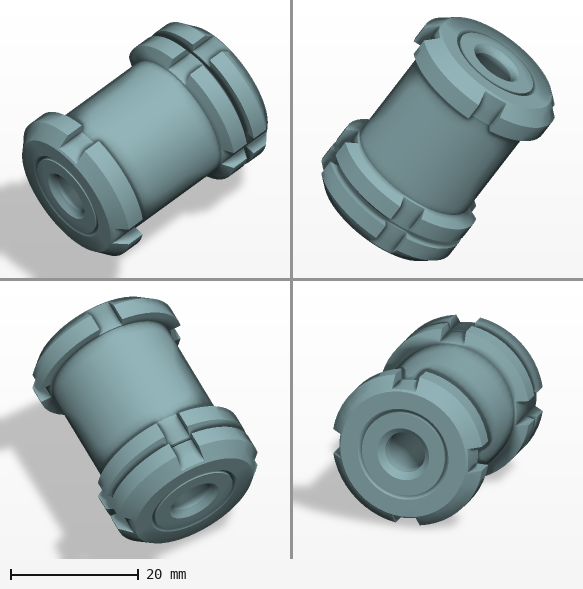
import cadquery as cq

length = 33.0
flange_radius = 12.5
body_radius = 10.4
stud_radius = 13.7 / 2
nut_bore_radius = 13.93 / 2
bore_radius = 6.6 / 2
countersink_radius = 4.3

front_collar_end = 5.0
middle_nut_start = 23.0
middle_nut_end = 28.0
rear_nut_start = 28.3

end_bevel = flange_radius - body_radius
middle_bevel_length = 1.12
groove_radius = 7.52
groove_depth = groove_radius - nut_bore_radius

slot_width = 4.0
slot_floor_radius = 10.7
slot_count = 4


def revolve_profile(points):
    """Turn (radius, station) points about the Y axis."""
    return cq.Workplane("XY").polyline(points).close().revolve(360, (0, 0, 0), (0, 1, 0))


def ring(outer_radius, inner_radius, start, end):
    return revolve_profile([
        (inner_radius, start),
        (outer_radius, start),
        (outer_radius, end),
        (inner_radius, end),
    ])


def cut_slots(collar, start, end):
    """Cut equally spaced spanner slots whose floors are cylindrical."""
    cutter_radius = 2 * flange_radius
    outer_zone = ring(cutter_radius, slot_floor_radius, start, end)
    for index in range(slot_count):
        blade = (
            cq.Workplane("XY")
            .box(slot_width, end - start, cutter_radius, centered=(True, False, False))
            .translate((0, start, 0))
            .rotate((0, 0, 0), (0, 1, 0), index * 360 / slot_count)
        )
        collar = collar.cut(blade.intersect(outer_zone))
    return collar


def collar(start, end, front_bevel, rear_bevel):
    """Slotted collar; each bevel narrows it to the body radius over the given length."""
    points = [(0, start)]
    if front_bevel:
        points.append((body_radius, start))
    points.append((flange_radius, start + front_bevel))
    points.append((flange_radius, end - rear_bevel))
    if rear_bevel:
        points.append((body_radius, end))
    points.append((0, end))
    return cut_slots(revolve_profile(points), start, end)


def face_groove(face, inward):
    """Groove around the stud end: bevelled outside, straight inside."""
    floor = face + inward * groove_depth
    return revolve_profile([
        (stud_radius, face),
        (groove_radius, face),
        (nut_bore_radius, floor),
        (stud_radius, floor),
    ])


def countersink(face, inward):
    return revolve_profile([
        (0, face),
        (countersink_radius, face),
        (bore_radius, face + inward * (countersink_radius - bore_radius)),
        (0, face + inward * (countersink_radius - bore_radius)),
    ])


solid = ring(stud_radius, bore_radius, 0, length)
solid = solid.union(ring(body_radius, bore_radius, front_collar_end, middle_nut_start))
solid = solid.union(collar(0, front_collar_end, end_bevel, 0))
solid = solid.union(collar(middle_nut_start, middle_nut_end, middle_bevel_length, middle_bevel_length))
solid = solid.union(collar(rear_nut_start, length, 0, end_bevel))

solid = solid.cut(revolve_profile([(0, 0), (bore_radius, 0), (bore_radius, length), (0, length)]))
for face, inward in ((0, 1), (length, -1)):
    solid = solid.cut(face_groove(face, inward)).cut(countersink(face, inward))

result = solid.translate((0, -length / 2, 0))